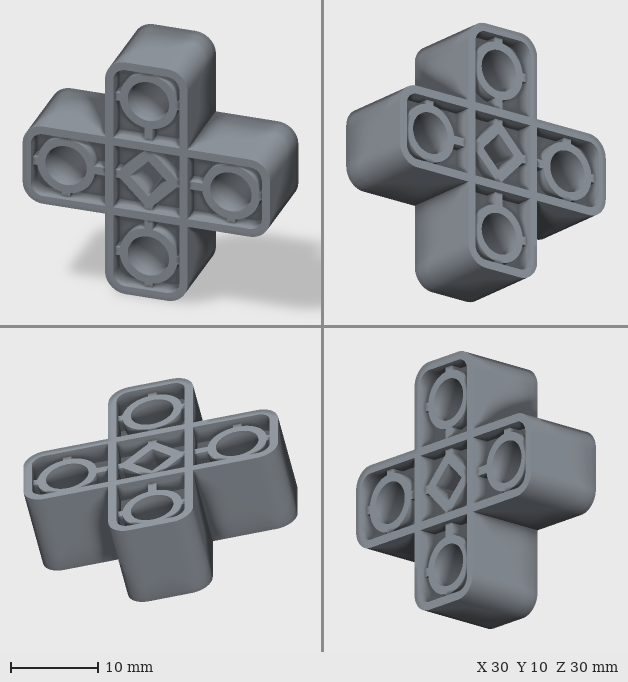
import cadquery as cq

length = 30.0
cell = length / 3
corner_radius = cell / 4
wall = cell / 10
rib_width = wall

pocket_depth = 2.25
boss_recess = 0.75
boss_height = pocket_depth - boss_recess

bore_diameter = 5.0
boss_diameter = bore_diameter + 2 * wall

diamond_hole_side = 3.2
diamond_hole_radius = 0.15
diamond_wall = 1.2
diamond_boss_side = diamond_hole_side + 2 * diamond_wall

pocket_side = cell - 2 * wall
pocket_corner_radius = corner_radius - wall
arm_pocket_inner_x = cell / 2
arm_pocket_outer_x = length / 2 - wall
arm_pocket_x = (arm_pocket_inner_x + arm_pocket_outer_x) / 2
arm_pocket_length = arm_pocket_outer_x - arm_pocket_inner_x
front_y = -cell / 2
back_y = cell / 2
floor_y = front_y + pocket_depth
arm_angles = (0, 90, 180, 270)


def sketch_at(y):
    """Workplane at the given Y whose local axes are X and Z and whose extrusion runs toward -Y."""
    return cq.Workplane("XZ", origin=(0, y, 0))


def turn(shape, angle):
    """Turn a shape about the Y axis through the middle of the cross."""
    return shape.rotate((0, 0, 0), (0, 1, 0), angle)


def bar(size_x, size_z):
    """One rounded bar of the cross."""
    return sketch_at(back_y).rect(size_x, size_z).extrude(cell).edges("|Y").fillet(corner_radius)


def diamond(y, side, depth):
    """Square prism standing on its corner, in the middle of the cross."""
    return turn(sketch_at(y).rect(side, side).extrude(depth), 45)


def diamond_hole():
    """Square through hole in the middle, slightly rounded at its corners."""
    return diamond(back_y, diamond_hole_side, cell).edges("|Y").fillet(diamond_hole_radius)


def middle_ribs():
    """Two crossing ribs that span the middle pocket."""
    across = sketch_at(floor_y).rect(pocket_side, rib_width).extrude(boss_height)
    upright = sketch_at(floor_y).rect(rib_width, pocket_side).extrude(boss_height)
    return across.union(upright)


def arm_ribs():
    """Crossing ribs of the +X arm pocket; one follows the arm and the other crosses it."""
    along = (
        sketch_at(floor_y)
        .center(arm_pocket_x, 0)
        .rect(arm_pocket_length, rib_width)
        .extrude(boss_height)
    )
    across = sketch_at(floor_y).center(cell, 0).rect(rib_width, pocket_side).extrude(boss_height)
    return along.union(across)


def arm_pocket():
    """Pocket of the +X arm, rounded at its two outer corners."""
    return (
        sketch_at(floor_y)
        .center(arm_pocket_x, 0)
        .rect(arm_pocket_length, pocket_side)
        .extrude(pocket_depth)
        .edges("|Y and >X")
        .fillet(pocket_corner_radius)
    )


def arm_boss():
    """Round boss in the middle of the +X arm cell."""
    return sketch_at(floor_y).center(cell, 0).circle(boss_diameter / 2).extrude(boss_height)


def arm_bore():
    """Through hole on the axis of the +X arm boss."""
    return sketch_at(back_y).center(cell, 0).circle(bore_diameter / 2).extrude(cell)


result = bar(length, cell).union(bar(cell, length))

result = result.cut(sketch_at(floor_y).rect(pocket_side, pocket_side).extrude(pocket_depth))
result = result.union(middle_ribs()).union(diamond(floor_y, diamond_boss_side, boss_height))
result = result.cut(diamond_hole())

arm_filling = arm_boss().union(arm_ribs())
for angle in arm_angles:
    result = result.cut(turn(arm_pocket(), angle))
    result = result.union(turn(arm_filling, angle))
    result = result.cut(turn(arm_bore(), angle))